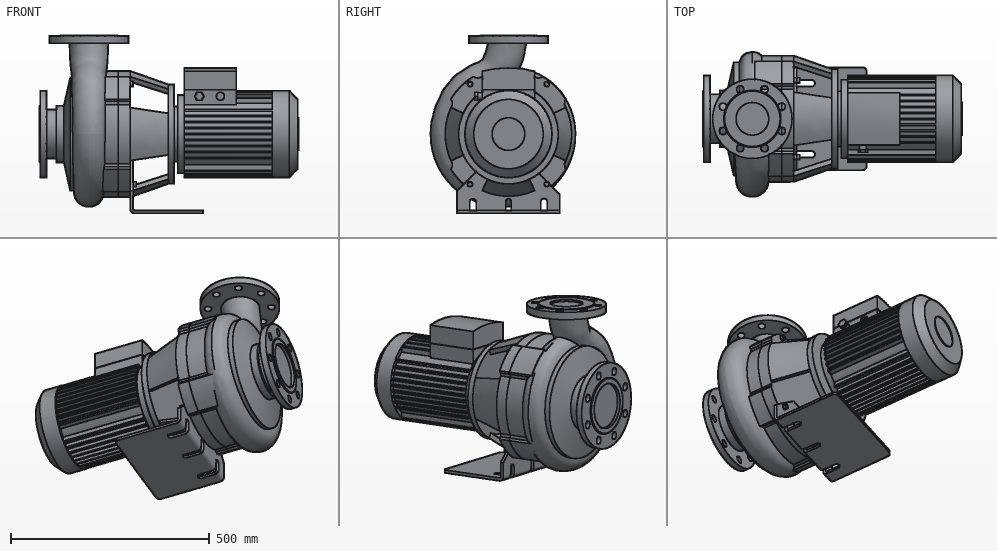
import cadquery as cq
import math


raised_face = 2.0
discharge_x = 125.0
casing_back_x = 199.5
lantern_plate_x = 229.0
lantern_flange_x = 325.0
lantern_end_x = 340.5
motor_face_x = 349.0
fins_start_x = 365.0
fins_end_x = 588.0
cowl_chamfer_x = 631.0
cowl_end_x = 652.5
motor_end_x = 654.5

flange_bolt_count = 8
raised_face_base_d = 144.0
raised_face_top_d = 140.0
suction_flange_d = 220.0
suction_flange_t = 16.5
suction_bolt_circle = 179.5
suction_bolt_d = 19.0
suction_bore_d = 114.5
suction_bore_depth = 8.0
discharge_top_z = 250.0
discharge_flange_d = 200.0
discharge_flange_t = 19.0
discharge_bolt_circle = 160.5
discharge_bolt_d = 18.0
discharge_bore_d = 82.5
discharge_bore_depth = 4.5

suction_pipe_d = 124.5
collar_start_x = 43.0
collar_end_x = 62.0
collar_d = 144.0
cone_start_r = 74.0
cone_end_x = 78.0
cover_r = 143.5
drum_start_x = 131.0
drum_r = 160.0
pad_r = 170.0
pad_step_r = 164.0
pad_root_r = 150.5
pad_top_half_angle = 13.7
pad_step_half_angle = 14.9
pad_root_half_angle = 17.2

volute_start_outer_r = 197.0
volute_end_outer_r = 169.5
volute_shrink_angle = 180
volute_start_tube_r = 41.0
volute_end_tube_r = 34.0
volute_end_angle = 280
volute_step_angle = 20
throat_centre_y = volute_start_tube_r - volute_start_outer_r

neck_stations = [
    (throat_centre_y, 0, 90, volute_start_tube_r),
    (-152.0, 32.0, 78, 42.0),
    (-142.0, 63.0, 66, 42.0),
    (-129.5, 87.0, 56, 42.5),
    (-92.0, 125.0, 39, 44.0),
    (-46.0, 150.5, 43, 44.0),
    (-16.5, 184.0, 70, 48.0),
    (-8.0, 208.0, 78, 48.5),
    (-4.0, discharge_top_z - discharge_flange_t, 90, 50.0),
]

lantern_flange_r = 125.5
lantern_wall = 14.5
rib_half_angle = 24.9

foot_t = 8.0
foot_width = 260.0
foot_bottom_z = -200.0
foot_top_z = -66.0
foot_end_x = 413.5
foot_bend_r = 12.0
foot_corner_r = 10.5
foot_near_side_top_z = -143.5
foot_far_side_top_z = -152.5
slot_y = 89.5
slot_w = 16.0
slot_top_z = -163.0
slot_end_x = 283.0
middle_slot_w = 13.0

bolt_y = 97.0
bolt_z = 126.0
bolt_head_d = 13.0
bolt_head_h = 8.0
bolt_shank_d = 9.0

motor_spigot_d = 140.0
motor_front_d = 198.0
motor_core_r = 99.5
fin_tip_r = 110.0
fin_t = 4.0
fin_pitch = 15.0
fins_each_side = 4
cowl_end_r = 88.0
end_disc_d = 82.5

box_length = 132.0
box_width = 132.0
box_bottom_z = 74.5
lid_seam_z = 112.0
lid_seam_gap = 0.5
lid_side_z = 159.0
lid_crown_z = 167.0
gland_x = fins_start_x + 38.5
gland_z = 95.5
gland_neck_d = 18.0
gland_neck_length = 12.0
gland_nut_corners = 24.0
gland_nut_h = 6.5
cable_hole_x = fins_start_x + 91.5
cable_hole_d = 20.0
cable_hole_depth = 5.0


def disc(x_start, x_end, radius):
    """Cylinder about the shaft axis between two X stations."""
    return cq.Workplane("YZ", origin=(x_start, 0, 0)).circle(radius).extrude(x_end - x_start)


def turned(profile):
    """Solid of revolution about the shaft axis from (x, radius) points."""
    return cq.Workplane("XY").polyline(profile).close().revolve(360, (0, 0, 0), (1, 0, 0))


def pipe_flange(diameter, thickness, bolt_circle, bolt_d, bore_d, bore_depth):
    """Drilled flange on the XY plane with a raised face and a shallow bore on top."""
    flange = cq.Workplane("XY").circle(diameter / 2).extrude(thickness)
    face = (
        cq.Workplane("XY", origin=(0, 0, thickness))
        .circle(raised_face_base_d / 2)
        .workplane(offset=raised_face)
        .circle(raised_face_top_d / 2)
        .loft()
    )
    bolt_holes = (
        cq.Workplane("XY")
        .polarArray(bolt_circle / 2, 180 / flange_bolt_count, 360, flange_bolt_count)
        .circle(bolt_d / 2)
        .extrude(thickness)
    )
    bore_floor = thickness + raised_face - bore_depth
    bore = cq.Workplane("XY", origin=(0, 0, bore_floor)).circle(bore_d / 2).extrude(bore_depth)
    return flange.union(face).cut(bolt_holes).cut(bore)


def tube_section(centre_y, centre_z, normal_y, normal_z, radius):
    """Circular tube section centred in the volute plane."""
    seam = cq.Vector(0, normal_z, -normal_y)
    plane = cq.Plane((discharge_x, centre_y, centre_z), seam, (0, normal_y, normal_z))
    return cq.Workplane(plane).circle(radius).wires().val()


def volute_scroll():
    """Tube that winds from the throat at -Y under the axis and up the +Y side, shrinking as it goes."""
    sections = []
    for degrees in range(0, volute_end_angle + 1, volute_step_angle):
        turn = min(degrees / volute_shrink_angle, 1)
        eased_turn = (1 - math.cos(math.pi * turn)) / 2
        outer_r = volute_start_outer_r + eased_turn * (volute_end_outer_r - volute_start_outer_r)
        tube_r = volute_start_tube_r + turn * (volute_end_tube_r - volute_start_tube_r)
        centre_r = outer_r - tube_r
        cosine = math.cos(math.radians(degrees))
        sine = math.sin(math.radians(degrees))
        sections.append(tube_section(-centre_r * cosine, -centre_r * sine, sine, -cosine, tube_r))
    return cq.Workplane(cq.Solid.makeLoft(sections))


def discharge_neck():
    """Tube from the throat that bends inward and then up into the discharge flange."""
    sections = []
    for centre_y, centre_z, direction, radius in neck_stations:
        angle = math.radians(direction)
        sections.append(tube_section(centre_y, centre_z, math.cos(angle), math.sin(angle), radius))
    return cq.Workplane(cq.Solid.makeLoft(sections))


def polar(radius, degrees):
    """Point (y, z) at a radius and angle about the shaft axis."""
    return (radius * math.cos(math.radians(degrees)), radius * math.sin(math.radians(degrees)))


def bolt_pads(x_start, x_end):
    """Four raised pads on the diagonals of the drum."""
    pads = cq.Workplane("YZ")
    for middle in (45, 135, 225, 315):
        pad = (
            cq.Workplane("YZ", origin=(x_start, 0, 0))
            .moveTo(*polar(pad_root_r, middle - pad_root_half_angle))
            .lineTo(*polar(drum_r, middle - pad_root_half_angle))
            .lineTo(*polar(pad_step_r, middle - pad_step_half_angle))
            .lineTo(*polar(pad_r, middle - pad_top_half_angle))
            .threePointArc(polar(pad_r, middle), polar(pad_r, middle + pad_top_half_angle))
            .lineTo(*polar(pad_step_r, middle + pad_step_half_angle))
            .lineTo(*polar(drum_r, middle + pad_root_half_angle))
            .lineTo(*polar(pad_root_r, middle + pad_root_half_angle))
            .close()
            .extrude(x_end - x_start)
        )
        pads = pads.add(pad)
    return pads.combine()


def make_casing():
    """Pump casing: suction flange and pipe, cover cone, volute, discharge flange and rear drum."""
    suction_back_x = raised_face + suction_flange_t
    suction = pipe_flange(
        suction_flange_d, suction_flange_t, suction_bolt_circle,
        suction_bolt_d, suction_bore_d, suction_bore_depth,
    )
    suction = suction.rotate((0, 0, 0), (0, 1, 0), -90).translate((suction_back_x, 0, 0))
    discharge = pipe_flange(
        discharge_flange_d, discharge_flange_t, discharge_bolt_circle,
        discharge_bolt_d, discharge_bore_d, discharge_bore_depth,
    )
    discharge = discharge.translate((discharge_x, 0, discharge_top_z - raised_face - discharge_flange_t))
    body = turned([
        (suction_back_x, 0),
        (suction_back_x, suction_pipe_d / 2),
        (collar_start_x, suction_pipe_d / 2),
        (collar_start_x, collar_d / 2),
        (collar_end_x, collar_d / 2),
        (collar_end_x, cone_start_r),
        (cone_end_x, cover_r),
        (drum_start_x, cover_r),
        (drum_start_x, drum_r),
        (casing_back_x, drum_r),
        (casing_back_x, 0),
    ])
    body = body.union(bolt_pads(drum_start_x, casing_back_x)).union(suction)
    spout = discharge_neck().union(discharge)
    return body.union(volute_scroll()).union(spout)


def make_lantern():
    """Lantern: plate with pads, four ribs cut from a hollow cone, and the motor flange."""
    shell = turned([
        (casing_back_x, 0),
        (casing_back_x, drum_r),
        (lantern_plate_x, drum_r),
        (lantern_flange_x, lantern_flange_r),
        (lantern_end_x, lantern_flange_r),
        (lantern_end_x, 0),
    ])
    cavity = turned([
        (lantern_plate_x, 0),
        (lantern_plate_x, drum_r - lantern_wall),
        (lantern_flange_x, lantern_flange_r - lantern_wall),
        (lantern_flange_x, 0),
    ])
    lantern = shell.cut(cavity).union(bolt_pads(casing_back_x, lantern_plate_x))
    reach = 2 * drum_r
    for side in (0, 90, 180, 270):
        window = (
            cq.Workplane("YZ", origin=(lantern_plate_x, 0, 0))
            .polyline([
                (0, 0),
                polar(reach, side + rib_half_angle),
                polar(reach, side + 90 - rib_half_angle),
            ])
            .close()
            .extrude(lantern_flange_x - lantern_plate_x)
        )
        lantern = lantern.cut(window)
    return lantern


def make_foot():
    """Bent sheet foot: upright plate against the lantern and a base plate under the motor."""
    half = foot_width / 2
    back_x = lantern_plate_x + foot_t
    angle = (
        cq.Workplane("XZ", origin=(0, half, 0))
        .moveTo(lantern_plate_x, foot_top_z)
        .lineTo(lantern_plate_x, foot_bottom_z)
        .lineTo(foot_end_x, foot_bottom_z)
        .lineTo(foot_end_x, foot_bottom_z + foot_t)
        .lineTo(back_x, foot_bottom_z + foot_t)
        .lineTo(back_x, foot_top_z)
        .close()
        .extrude(foot_width)
    )
    outer_bend = cq.selectors.NearestToPointSelector((lantern_plate_x, 0, foot_bottom_z))
    inner_bend = cq.selectors.NearestToPointSelector((back_x, 0, foot_bottom_z + foot_t))
    angle = angle.edges("|Y").edges(outer_bend).fillet(foot_bend_r)
    angle = angle.edges("|Y").edges(inner_bend).fillet(foot_bend_r - foot_t)
    angle = angle.edges("|Z and >X").fillet(foot_corner_r)

    far_rise = foot_top_z - foot_far_side_top_z
    near_rise = foot_top_z - foot_near_side_top_z
    upright = (
        cq.Workplane("YZ", origin=(lantern_plate_x, 0, 0))
        .polyline([
            (half, foot_bottom_z),
            (half, foot_far_side_top_z),
            (half - far_rise, foot_top_z),
            (near_rise - half, foot_top_z),
            (-half, foot_near_side_top_z),
            (-half, foot_bottom_z),
        ])
        .close()
        .extrude(foot_end_x - lantern_plate_x)
    )
    foot = angle.intersect(upright)
    for y, width in ((-slot_y, slot_w), (0, middle_slot_w), (slot_y, slot_w)):
        foot = foot.cut(foot_slot(y, width))
    return foot


def foot_slot(y, width):
    """Slot cutter that runs down the upright, through the bend and along the base, with round ends."""
    upright_end_z = slot_top_z - width / 2
    base_end_x = slot_end_x - width / 2
    upright = (
        cq.Workplane("YZ", origin=(lantern_plate_x, 0, 0))
        .moveTo(y - width / 2, foot_bottom_z)
        .lineTo(y - width / 2, upright_end_z)
        .threePointArc((y, slot_top_z), (y + width / 2, upright_end_z))
        .lineTo(y + width / 2, foot_bottom_z)
        .close()
        .extrude(foot_bend_r)
    )
    base = (
        cq.Workplane("XY", origin=(0, 0, foot_bottom_z))
        .moveTo(lantern_plate_x, y - width / 2)
        .lineTo(base_end_x, y - width / 2)
        .threePointArc((slot_end_x, y), (base_end_x, y + width / 2))
        .lineTo(lantern_plate_x, y + width / 2)
        .close()
        .extrude(foot_t)
    )
    return upright.union(base)


def make_bolt(y, z, seat_x):
    """Bolt with its head seated at seat_x and its shank reaching the casing face."""
    shank = cq.Workplane("YZ", origin=(casing_back_x, y, z)).circle(bolt_shank_d / 2)
    head = cq.Workplane("YZ", origin=(seat_x, y, z)).circle(bolt_head_d / 2)
    return shank.extrude(seat_x - casing_back_x).union(head.extrude(bolt_head_h))


def cooling_fins():
    """Round core with parallel plates, level and upright, trimmed to the round fin outline."""
    length = fins_end_x - fins_start_x
    middle_x = (fins_start_x + fins_end_x) / 2
    fins = disc(fins_start_x, fins_end_x, motor_core_r)
    outline = disc(fins_start_x, fins_end_x, fin_tip_r)
    for index in range(-fins_each_side, fins_each_side + 1):
        offset = index * fin_pitch
        level = cq.Workplane("XY").box(length, 2 * fin_tip_r, fin_t).translate((middle_x, 0, offset))
        upright = cq.Workplane("XY").box(length, fin_t, 2 * fin_tip_r).translate((middle_x, offset, 0))
        fins = fins.union(level.intersect(outline)).union(upright.intersect(outline))
    return fins


def make_motor():
    """Motor: spigot and front disc, finned frame, and fan cowl with an end disc."""
    front = disc(lantern_end_x, motor_face_x, motor_spigot_d / 2)
    front = front.union(disc(motor_face_x, fins_start_x, motor_front_d / 2))
    cowl = turned([
        (fins_end_x, 0),
        (fins_end_x, fin_tip_r),
        (cowl_chamfer_x, fin_tip_r),
        (cowl_end_x, cowl_end_r),
        (cowl_end_x, 0),
    ])
    end_disc = disc(cowl_end_x, motor_end_x, end_disc_d / 2)
    return cooling_fins().union(front).union(cowl).union(end_disc)


def box_outline():
    """Solid outline of the terminal box under its arched lid."""
    half = box_width / 2
    return (
        cq.Workplane("YZ", origin=(fins_start_x, 0, 0))
        .moveTo(-half, box_bottom_z)
        .lineTo(half, box_bottom_z)
        .lineTo(half, lid_side_z)
        .threePointArc((0, lid_crown_z), (-half, lid_side_z))
        .close()
        .extrude(box_length)
    )


def make_terminal_box():
    """Terminal box saddled on the motor core, with a lid seam, a cable gland and a cable hole."""
    front_y = -box_width / 2
    box = box_outline().cut(disc(fins_start_x, fins_start_x + box_length, motor_core_r))
    seam = (
        cq.Workplane("XY", origin=(fins_start_x + box_length / 2, 0, lid_seam_z))
        .rect(box_length, box_width)
        .rect(box_length - 2 * lid_seam_gap, box_width - 2 * lid_seam_gap)
        .extrude(lid_seam_gap)
    )
    neck = cq.Workplane("XZ", origin=(gland_x, front_y, gland_z)).circle(gland_neck_d / 2)
    nut_y = front_y - gland_neck_length
    nut = cq.Workplane("XZ", origin=(gland_x, nut_y, gland_z)).polygon(6, gland_nut_corners)
    hole = cq.Workplane("XZ", origin=(cable_hole_x, front_y, gland_z)).circle(cable_hole_d / 2)
    box = box.cut(seam).cut(hole.extrude(-cable_hole_depth))
    return box.union(neck.extrude(gland_neck_length)).union(nut.extrude(gland_nut_h))


casing = make_casing()
foot = make_foot()
lantern = make_lantern().cut(foot)
motor = make_motor().cut(box_outline())
terminal_box = make_terminal_box()

bolts = []
for side in (-1, 1):
    bolts.append(make_bolt(side * bolt_y, bolt_z, lantern_plate_x))
    bolts.append(make_bolt(side * bolt_y, -bolt_z, lantern_plate_x + foot_t))
for bolt in bolts:
    lantern = lantern.cut(bolt)
    foot = foot.cut(bolt)

result = cq.Compound.makeCompound([
    casing.val(),
    lantern.val(),
    foot.val(),
    motor.val(),
    terminal_box.val(),
    *[bolt.val() for bolt in bolts],
])